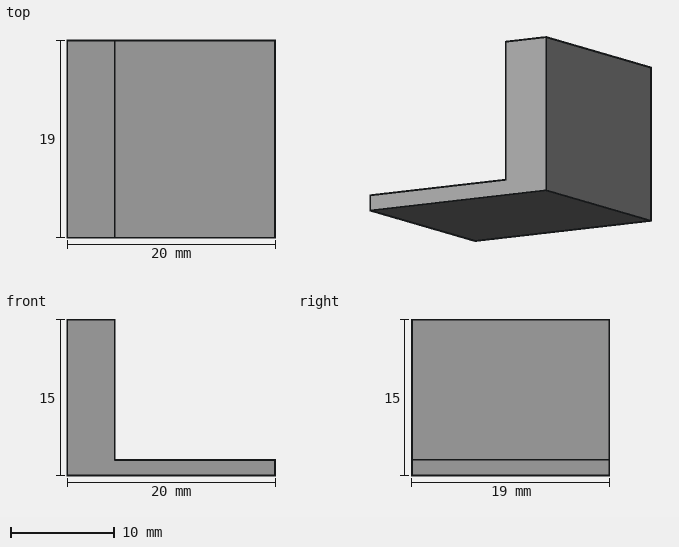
import cadquery as cq

length = 20.0
width = 19.0
height = 15.0

wall_thickness = 4.6
base_thickness = 1.5

base = cq.Workplane("XY").box(length, width, base_thickness, centered=False)
wall = cq.Workplane("XY").box(wall_thickness, width, height, centered=False)

result = base.union(wall)